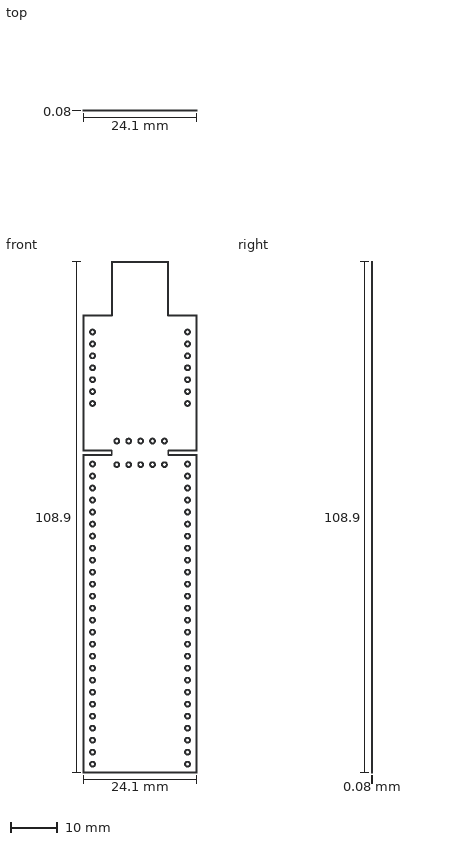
import cadquery as cq

WIDTH = 24.13
THICKNESS = 0.08
HEIGHT = 108.89

TONGUE_WIDTH = 12
TONGUE_HEIGHT = 11.41

NECK_WIDTH = 12.1
SLOT_HEIGHT = 0.95
SLOT_BOTTOM = 67.7

HOLE_DIAMETER = 1.0
PITCH = 2.54
COLUMN_SPACING = 20.25

LOWER_COLUMN_COUNT = 26
LOWER_COLUMN_PITCH = 2.56
LOWER_COLUMN_BOTTOM = 1.77
UPPER_COLUMN_COUNT = 7
UPPER_COLUMN_BOTTOM = 78.68

ROW_COUNT = 5
ROW_OFFSET = 0.12
LOWER_ROW_HEIGHT = 65.65
ROW_SPACING = 5.02


def column_points(count, pitch, bottom):
    """Hole centres of a mirrored pair of vertical columns."""
    return [
        (side * COLUMN_SPACING / 2, bottom + i * pitch)
        for side in (-1, 1)
        for i in range(count)
    ]


def row_points(height):
    """Hole centres of a horizontal row set slightly off centre toward +X."""
    first_x = ROW_OFFSET - PITCH * (ROW_COUNT - 1) / 2
    return [(first_x + i * PITCH, height) for i in range(ROW_COUNT)]


def make_sheet():
    """Sheet outline: lower panel, neck, upper panel and tongue in one piece."""
    shoulder = HEIGHT - TONGUE_HEIGHT
    slot_top = SLOT_BOTTOM + SLOT_HEIGHT
    half_outline = [
        (WIDTH / 2, 0),
        (WIDTH / 2, SLOT_BOTTOM),
        (NECK_WIDTH / 2, SLOT_BOTTOM),
        (NECK_WIDTH / 2, slot_top),
        (WIDTH / 2, slot_top),
        (WIDTH / 2, shoulder),
        (TONGUE_WIDTH / 2, shoulder),
        (TONGUE_WIDTH / 2, HEIGHT),
    ]
    mirrored_outline = [(-x, z) for x, z in reversed(half_outline)]
    return (
        cq.Workplane("XZ")
        .polyline(half_outline + mirrored_outline)
        .close()
        .extrude(THICKNESS / 2, both=True)
    )


def make_holes():
    """Cutters for every hole, longer than the sheet is thick."""
    points = (
        column_points(LOWER_COLUMN_COUNT, LOWER_COLUMN_PITCH, LOWER_COLUMN_BOTTOM)
        + column_points(UPPER_COLUMN_COUNT, PITCH, UPPER_COLUMN_BOTTOM)
        + row_points(LOWER_ROW_HEIGHT)
        + row_points(LOWER_ROW_HEIGHT + ROW_SPACING)
    )
    return cq.Workplane("XZ").pushPoints(points).circle(HOLE_DIAMETER / 2).extrude(THICKNESS, both=True)


result = make_sheet().cut(make_holes())